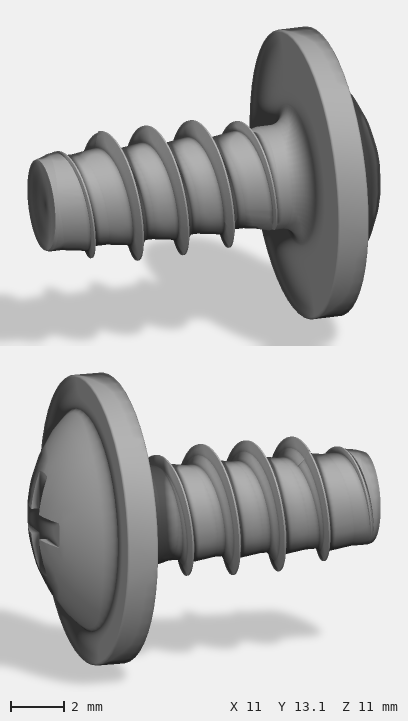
import cadquery as cq
import math

FULL_TURN = 360


washer_radius = 5.5
washer_thickness = 1.2
washer_edge_fillet = 0.08
dome_base_radius = 4.22
dome_height = 1.96
slot_width = 0.95
slot_floor_in_dome = 1.59
slot_floor = washer_thickness + slot_floor_in_dome

shank_length = 10.0
neck_radius = 1.97
neck_length = 1.23
neck_fillet = 0.7
core_radius = 1.77
runout_end = 2.0
overlap = 0.2
tip_radius = 1.73
tip_cone_start = 7.0
tip_dish_radius = 1.66
tip_dish_depth = 0.16
core_start = 0.3
core_end = 12.8

pitch = 1.8
ramp_top_radius = 1.92
ramp_top = 0.1
ramp_end = 1.13
ramp_burial = 0.15

crest_radius = 2.51
crest_half_width = 0.03
knee_radius = 2.1
knee_offset = 0.13
head_side_root = 0.37
tip_side_root = 0.27
root_depth = 0.17
first_crest_depth = 1.43

entry_start = 0.7
entry_end = 3.2
exit_start = 7.3
exit_end = 10.3
entry_slope = 0.183
exit_slope = 0.285
joint_overlap = 0.1
joint_drop = 0.02
seam_angle = 110


def make_head():
    washer = cq.Workplane("XY").circle(washer_radius).extrude(washer_thickness)
    washer = washer.edges().fillet(washer_edge_fillet)
    sphere_radius = (dome_base_radius**2 + dome_height**2) / (2 * dome_height)
    apex = washer_thickness + dome_height
    sphere = cq.Workplane("XY").sphere(sphere_radius).translate((0, 0, apex - sphere_radius))
    cap_limit = cq.Workplane("XY").workplane(offset=washer_thickness / 2)
    cap_limit = cap_limit.circle(dome_base_radius).extrude(washer_thickness / 2 + dome_height)
    return cut_cross_slots(washer.union(sphere.intersect(cap_limit)))


def cut_cross_slots(head):
    for angle in (0, 90):
        slot = (
            cq.Workplane("XY")
            .box(2 * washer_radius, slot_width, dome_height, centered=(True, True, False))
            .rotate((0, 0, 0), (0, 0, 1), angle)
            .translate((0, 0, slot_floor))
        )
        head = head.cut(slot)
    return head


def make_neck():
    """Plain neck with a fillet under the washer and a cone running out to the core."""
    centre_radius = neck_radius + neck_fillet
    fillet_mid = neck_fillet * math.sin(math.radians(45))
    return (
        cq.Workplane("XZ")
        .moveTo(0, overlap)
        .lineTo(centre_radius, overlap)
        .lineTo(centre_radius, 0)
        .threePointArc(
            (centre_radius - fillet_mid, fillet_mid - neck_fillet),
            (neck_radius, -neck_fillet),
        )
        .lineTo(neck_radius, -neck_length)
        .lineTo(core_radius, -runout_end)
        .lineTo(0, -runout_end)
        .close()
        .revolve(FULL_TURN, (0, 0, 0), (0, 1, 0))
    )


def sweep_ridge(section, start_depth, end_depth, slope=0.0):
    """Sweep a section of (radius, offset from crest towards the head) along the thread helix.

    The section moves outward by the slope for each millimetre of travel, up or down the screw.
    """
    travel = abs(start_depth - end_depth)
    if slope:
        lean = math.atan(slope)
        stretch = 1 / math.cos(lean)
        path = cq.Wire.makeHelix(
            pitch * stretch, travel * stretch, core_radius, angle=math.degrees(lean)
        )
    else:
        path = cq.Wire.makeHelix(pitch, travel, core_radius)
    heading = 1 if start_depth > end_depth else -1
    points = [(radius, heading * offset) for radius, offset in section]
    ridge = cq.Workplane("XZ").polyline(points).close().sweep(cq.Workplane(path), isFrenet=True)
    if heading < 0:
        ridge = ridge.rotate((0, 0, 0), (1, 0, 0), 180)
    turn = (first_crest_depth - start_depth) / pitch * FULL_TURN
    return ridge.rotate((0, 0, 0), (0, 0, 1), turn).translate((0, 0, -start_depth))


def make_ramp():
    """Shallow ramp on the tip side of the tooth, sinking into the core at its lower end."""
    base_radius = core_radius - root_depth
    fall = (ramp_top_radius - core_radius) / (ramp_end - ramp_top)
    section = [
        (base_radius, -ramp_top),
        (ramp_top_radius, -ramp_top),
        (core_radius - fall * ramp_burial, -ramp_end - ramp_burial),
        (base_radius, -ramp_end - ramp_burial),
    ]
    return sweep_ridge(section, exit_end + pitch, entry_start)


def make_tooth(start_depth, end_depth, drop=0.0, slope=0.0):
    """Stretch of tooth that starts sunk into the core by the drop and emerges at the slope."""
    base_radius = core_radius - root_depth
    head_slope = (head_side_root - knee_offset) / (knee_radius - core_radius)
    tip_slope = (tip_side_root - crest_half_width) / (crest_radius - core_radius)
    section = [
        (base_radius - drop, head_side_root + head_slope * root_depth),
        (knee_radius - drop, knee_offset),
        (crest_radius - drop, crest_half_width),
        (crest_radius - drop, -crest_half_width),
        (base_radius - drop, -tip_side_root - tip_slope * root_depth),
    ]
    return sweep_ridge(section, start_depth, end_depth, slope)


def make_shank_limit():
    """Space between the end of the neck and the tapered, dished tip."""
    limit_radius = crest_radius + overlap
    return (
        cq.Workplane("XZ")
        .polyline([
            (0, -neck_length),
            (limit_radius, -neck_length),
            (limit_radius, -tip_cone_start),
            (tip_radius, -shank_length),
            (tip_dish_radius, -shank_length),
            (0, tip_dish_depth - shank_length),
        ])
        .close()
        .revolve(FULL_TURN, (0, 0, 0), (0, 1, 0))
    )


def make_threaded_shank():
    core = cq.Workplane("XY").workplane(offset=-core_start).circle(core_radius)
    core = core.extrude(core_start - core_end).rotate((0, 0, 0), (0, 0, 1), seam_angle)
    entry_drop = joint_drop + entry_slope * (entry_end - entry_start)
    exit_drop = joint_drop + exit_slope * (exit_end - exit_start)
    shank = core.union(make_ramp())
    shank = shank.union(make_tooth(exit_start + joint_overlap, entry_end - joint_overlap))
    shank = shank.union(make_tooth(entry_start, entry_end, entry_drop, entry_slope))
    shank = shank.union(make_tooth(exit_end, exit_start, exit_drop, exit_slope))
    return shank.intersect(make_shank_limit())


screw = make_head().union(make_neck()).union(make_threaded_shank())
result = screw.rotate((0, 0, 0), (1, 0, 0), -90)